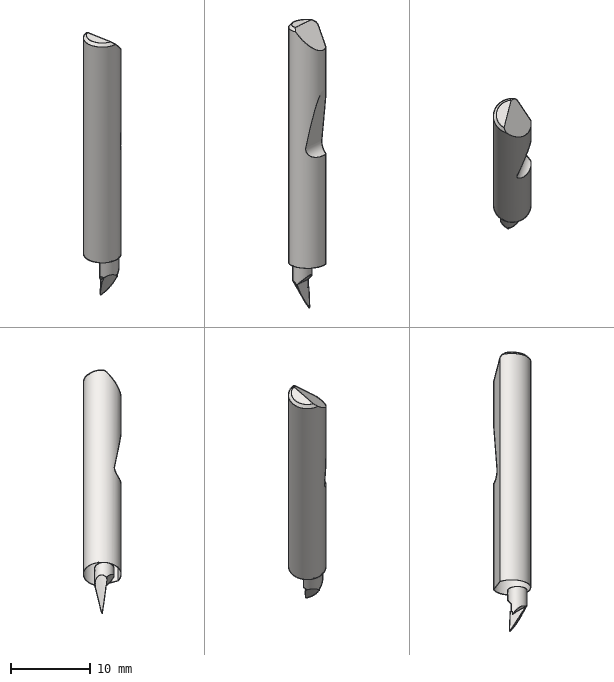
import cadquery as cq
import math

total_length = 37.88
shank_diameter = 4.77
shank_radius = shank_diameter / 2
shank_bottom = 6.17
end_chamfer = 0.38
end_slope_start = 34.9
side_flat_angle = 145
side_flat_distance = 1.99

notch_top = 29.5
notch_bottom = 20.85
notch_radius = 1.3

neck_diameter = 2.45
neck_radius = neck_diameter / 2
neck_center_x = shank_radius - neck_radius
neck_slope_start = 5.08

rake_y = 0.08
head_top = 2.8
head_top_x = -0.25
tip_corner = (-0.435, 0.15)
tip_point = (-0.3, 0)
edge_middle = (1.3, 1.85)
edge_end = (shank_radius, 3.67)
flank_direction = cq.Vector(2.55, -2.6, 0)
edge_relief_slope = 1.9
edge_relief_shift = 0.4
clearance_lean = 0.3
roof_base = 2.2
roof_slope = 1.2

margin = 2 * shank_diameter


def prism_along_x(points):
    """Prism wide enough to cross the shank, from (Y, Z) points."""
    return cq.Workplane("YZ").polyline(points).close().extrude(margin, both=True)


def rake_plane():
    return cq.Workplane("XZ", origin=(0, rake_y, 0))


def slanted_prism(outline, direction):
    """Solid swept from a closed outline along a straight, slanted direction."""
    return cq.Workplane(obj=cq.Solid.extrudeLinear(outline.val(), [], direction))


def back_slope(start_height, back_y, rise):
    """Material behind a 45 degree plane; rise is positive upward, negative downward."""
    reach = math.copysign(margin, rise)
    return prism_along_x([
        (back_y + margin, start_height - reach),
        (back_y - margin, start_height + reach),
        (back_y + margin, start_height + reach),
    ])


def make_shank():
    shank = (
        cq.Workplane("XY", origin=(0, 0, shank_bottom))
        .circle(shank_radius)
        .extrude(total_length - shank_bottom)
        .faces(">Z")
        .chamfer(end_chamfer)
    )
    flat = (
        cq.Workplane("XY")
        .box(margin, margin, total_length, centered=(False, True, False))
        .translate((side_flat_distance, 0, 0))
        .rotate((0, 0, 0), (0, 0, 1), side_flat_angle)
    )
    notch_center = notch_bottom + notch_radius
    notch_side = shank_radius + margin
    arc_drop = notch_radius * math.sqrt(0.5)
    notch = (
        cq.Workplane("YZ")
        .moveTo(shank_radius, notch_top)
        .lineTo(shank_radius - notch_radius, notch_center)
        .threePointArc((shank_radius - arc_drop, notch_center - arc_drop), (shank_radius, notch_bottom))
        .lineTo(notch_side, notch_bottom)
        .lineTo(notch_side, notch_top)
        .close()
        .extrude(margin, both=True)
    )
    return shank.cut(flat).cut(notch).cut(back_slope(end_slope_start, shank_radius, 1))


def make_flank_side():
    """Space on the material side of the flank, which leans further in above the head."""
    flank_run = (head_top_x - tip_corner[0]) / (head_top - tip_corner[1])
    low = -margin
    high = margin
    outline = rake_plane().polyline([
        (head_top_x + flank_run * (low - head_top), low),
        (head_top_x, head_top),
        (head_top_x + clearance_lean * (high - head_top), high),
        (margin, high),
        (margin, low),
    ]).close().wire()
    return slanted_prism(outline, flank_direction.normalized() * margin)


def make_edge_side():
    """Space above the curved main cutting edge and its relief surface."""
    outline = (
        rake_plane()
        .moveTo(*tip_corner)
        .lineTo(*tip_point)
        .threePointArc(edge_middle, edge_end)
        .lineTo(edge_end[0], margin)
        .lineTo(-margin, margin)
        .lineTo(-margin, tip_corner[1])
        .close()
        .wire()
    )
    relief_direction = cq.Vector(edge_relief_shift, -1, edge_relief_slope) * margin
    return slanted_prism(outline, relief_direction)


def make_neck_and_head():
    neck = cq.Workplane("XY").center(neck_center_x, 0).circle(neck_radius).extrude(shank_bottom)
    back = cq.Workplane("XY", origin=(0, rake_y, 0)).box(
        margin, margin, shank_bottom, centered=(True, False, False)
    )
    front_half = neck.cut(back)
    back_half = neck.intersect(back).cut(back_slope(neck_slope_start, neck_radius, -1))

    head_corner = cq.Workplane("XY").box(
        margin, rake_y + neck_radius, head_top, centered=False
    ).translate((neck_center_x - margin, -neck_radius, 0))

    flank_side = make_flank_side()
    below_roof = prism_along_x([
        (0, -margin),
        (0, roof_base),
        (-margin, roof_base + roof_slope * margin),
        (-margin, -margin),
    ])
    flank_clearance = below_roof.cut(flank_side)
    head = head_corner.intersect(flank_side)
    front = front_half.cut(flank_clearance).union(head).intersect(make_edge_side())
    return front.union(back_half)


result = make_shank().union(make_neck_and_head())